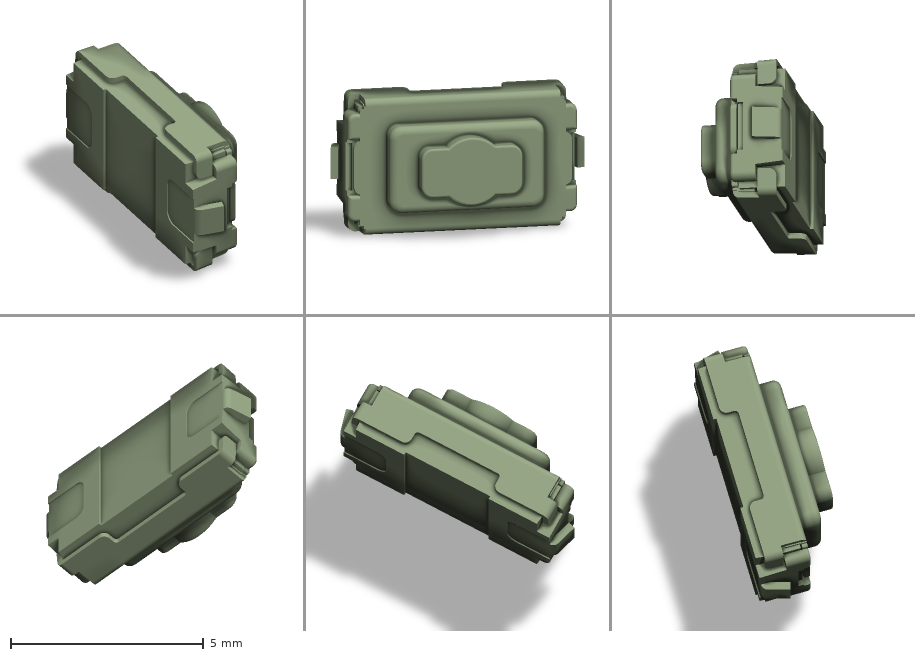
import cadquery as cq
import math


base_half_x = 3.055
base_half_z = 1.6
core_top = 1.21
underside_step = 0.08
underside_step_half_x = 1.255

corner_half_x = 2.69
corner_half_z = 1.0
corner_draft = 0.06
corner_roof = 0.73
upper_half_x = corner_half_x + corner_draft

end_half_z = 1.43
end_corner_radius = 0.175
lug_gap_half = 0.75
lug_fillet = 0.095
end_pocket_half = 0.645
end_pocket_floor = 1.05
end_pocket_depth = 0.14

pad_inner_x = 1.8
pad_half_z = 0.705
pad_corner_radius = 0.3
pad_recess = 0.035
lead_half_z = 0.4
lead_thickness = 0.205
lead_bottom = pad_recess
lead_tip_x = 3.395
lead_tip_y = 0.75
lead_angle = 15.5
lead_bend_radius = 0.18

cover_top = 1.405
sheet = 0.15
cover_half_x = 2.61
cover_half_z = 1.805
cover_bend_radius = 0.18
wall_bottom = 0.21
channel_overlap = 0.02
wall_lean = 2.1
filling_half_x = 2.64
filling_bottom = 0.82
ear_half_z = 1.55
ear_radius = 0.05
tongue_end_x = 2.91
tongue_half_z = 0.705
tongue_radius = 0.21

skirt_top = 0.705
skirt_half_x = 2.9
skirt_corner_radius = 0.175
flange_end_z = 1.115
flange_flare = 0.035
flange_radius = 0.2
notch_half_x = 1.255
notch_top = 0.66
notch_inner_radius = 0.095
notch_outer_radius = 0.19

plunger_half_x = 2.06
plunger_half_z = 1.155
plunger_top = 2.0
plunger_corner_radius = 0.305
plunger_fillet = 0.2
button_half_x = 1.345
button_half_z = 0.65
button_corner_radius = 0.29
button_disc_radius = 0.9
button_top = 2.5
button_fillet = 0.06


def block(x0, x1, y0, y1, z0, z1):
    """Box between two opposite corners."""
    return cq.Workplane("XY").box(x1 - x0, y1 - y0, z1 - z0, centered=False).translate((x0, y0, z0))


def slab(half_x, half_z, y0, y1):
    """Box centred on the Y axis between two heights."""
    return block(-half_x, half_x, y0, y1, -half_z, half_z)


def plan(y):
    """Workplane at height y facing +Y; its local axes are X and -Z."""
    return cq.Workplane("XZ", origin=(0, y, 0)).transformed(rotate=(180, 0, 0))


def both_ends(shape):
    return shape.union(shape.mirror("YZ"))


def both_sides(shape):
    return shape.union(shape.mirror("XY"))


def corner_cutout():
    """Drafted pocket at the +X +Z corner, widest at the mounting face."""
    span_x = 2 * (base_half_x - corner_half_x)
    span_z = 2 * (base_half_z - corner_half_z)
    slope = math.degrees(math.atan(corner_draft / corner_roof))
    return (
        plan(0)
        .center(base_half_x, -base_half_z)
        .rect(span_x, span_z)
        .extrude(corner_roof, taper=slope)
    )


def lug():
    """Upright at the +X +Z end of the base, rounded along its outer top edges."""
    body = block(upper_half_x, base_half_x, core_top, cover_top, lug_gap_half, end_half_z)
    body = body.edges("|Y and >X and >Z").fillet(end_corner_radius)
    return body.faces(">Y").edges("not <X").fillet(lug_fillet)


def make_base():
    core = slab(upper_half_x, base_half_z, 0, core_top)
    ends = slab(base_half_x, base_half_z, 0, corner_roof)
    blocks = slab(base_half_x, end_half_z, corner_roof, core_top)
    blocks = blocks.edges("|Y").fillet(end_corner_radius)
    base = core.union(ends).union(blocks).union(both_ends(both_sides(lug())))
    base = base.cut(both_ends(both_sides(corner_cutout())))
    base = base.cut(slab(underside_step_half_x, base_half_z, 0, underside_step))
    pocket = block(
        base_half_x - end_pocket_depth, base_half_x,
        end_pocket_floor, core_top,
        -end_pocket_half, end_pocket_half,
    )
    return base.cut(both_ends(pocket))


def make_pad_recess():
    recess = block(pad_inner_x, base_half_x, 0, pad_recess, -pad_half_z, pad_half_z)
    return both_ends(recess.edges("|Y and <X").fillet(pad_corner_radius))


def make_leads():
    """Bent terminal ends leaning outwards from under the base."""
    lean = math.radians(lead_angle)
    along = (math.sin(lean), math.cos(lean))
    heel_x = lead_tip_x - (lead_tip_y - lead_bottom) * math.tan(lean)
    inner_tip = (
        lead_tip_x - lead_thickness * along[1],
        lead_tip_y + lead_thickness * along[0],
    )
    inner_drop = inner_tip[1] - lead_bottom - lead_thickness
    inner_bend = (inner_tip[0] - inner_drop * math.tan(lean), lead_bottom + lead_thickness)
    root_x = inner_bend[0] - lead_thickness
    lead = (
        cq.Workplane("XY", origin=(0, 0, -lead_half_z))
        .moveTo(root_x, lead_bottom)
        .lineTo(heel_x, lead_bottom)
        .lineTo(lead_tip_x, lead_tip_y)
        .lineTo(*inner_tip)
        .lineTo(*inner_bend)
        .lineTo(root_x, inner_bend[1])
        .close()
        .extrude(2 * lead_half_z)
    )
    heel = cq.selectors.NearestToPointSelector((heel_x, lead_bottom, 0))
    return both_ends(lead.edges("|Z").edges(heel).fillet(lead_bend_radius))


def make_cover_plate():
    under = cover_top - sheet
    ears = slab(upper_half_x, ear_half_z, under, cover_top).edges("|Y").fillet(ear_radius)
    tongue = slab(tongue_end_x, tongue_half_z, under, cover_top).edges("|Y").fillet(tongue_radius)
    edge = slab(filling_half_x, cover_half_z - cover_bend_radius, under, cover_top)
    return edge.union(ears).union(tongue)


def cover_section(half_x, offset, bottom):
    """Bar with the cover's cross-section, offset inwards and cut off at height bottom."""
    lean = math.radians(wall_lean)
    half_z = cover_half_z + offset * (math.tan(lean) - 1 / math.cos(lean))
    top = cover_top - offset
    flare = (top - bottom) * math.tan(lean)
    return (
        cq.Workplane("YZ", origin=(-half_x, 0, 0))
        .polyline([(bottom, -half_z - flare), (top, -half_z), (top, half_z), (bottom, half_z + flare)])
        .close()
        .extrude(2 * half_x)
        .edges("|X and >Y")
        .fillet(cover_bend_radius - offset)
    )


def make_cover_channel():
    """Top bends and upper walls, running down a little way into the skirts."""
    bottom = notch_top + channel_overlap
    return cover_section(cover_half_x, 0, bottom).cut(cover_section(cover_half_x, sheet, bottom))


def make_skirt():
    """Skirt of the +Z wall, built upright and then leaned about the top of the wall."""
    def outline(inset):
        half_x = skirt_half_x - inset
        return (
            plan(wall_bottom)
            .polyline([
                (-half_x - flange_flare, -flange_end_z),
                (-half_x, -cover_half_z + inset),
                (half_x, -cover_half_z + inset),
                (half_x + flange_flare, -flange_end_z),
            ])
            .close()
            .extrude(skirt_top - wall_bottom)
            .edges("|Y and >Z")
            .fillet(skirt_corner_radius - inset)
        )

    skirt = outline(0).cut(outline(sheet))
    skirt = skirt.edges("|X").edges("<Z").edges("<Y").fillet(flange_radius)
    notch = block(
        -notch_half_x, notch_half_x,
        wall_bottom, notch_top,
        flange_end_z, cover_half_z,
    )
    skirt = skirt.cut(notch.edges("|Z and >Y").fillet(notch_inner_radius))
    skirt = skirt.edges("|Z").edges("<Y").fillet(notch_outer_radius)
    hinge = (0, cover_top, cover_half_z)
    return skirt.rotate(hinge, (1, cover_top, cover_half_z), -wall_lean)


def make_cover_filling():
    """Upper part of the base that fills the inside of the cover."""
    return cover_section(filling_half_x, sheet, filling_bottom)


def make_plunger():
    plunger = slab(plunger_half_x, plunger_half_z, cover_top - sheet, plunger_top)
    plunger = plunger.edges("|Y").fillet(plunger_corner_radius)
    return plunger.faces(">Y").edges().fillet(plunger_fillet)


def make_button():
    """Rounded bar crossed by a larger round disc."""
    height = button_top - cover_top
    bar = slab(button_half_x, button_half_z, cover_top, button_top)
    bar = bar.edges("|Y").fillet(button_corner_radius)
    disc = plan(cover_top).circle(button_disc_radius).extrude(height)
    return bar.union(disc).faces(">Y").edges().fillet(button_fillet)


base = make_base().cut(make_pad_recess()).union(make_leads()).union(make_cover_filling())
cover = make_cover_plate().union(make_cover_channel()).union(both_sides(make_skirt()))
result = base.union(cover).union(make_plunger()).union(make_button())